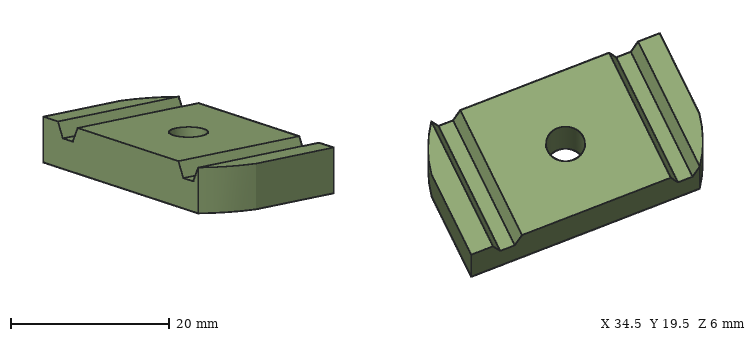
import cadquery as cq

length = 34.5
width = 19.5
thickness = 6.0

corner_cut_x = 3.0
corner_cut_y = 6.97
corner_radius = 17.25

groove_edge_distance = 3.0
groove_top_width = 4.0
groove_floor_width = 2.0
groove_depth = 2.0

hole_diameter = 4.95

half_length = length / 2
half_width = width / 2


def make_block():
    """Plate with its -X+Y and +X-Y corners rounded."""
    return (
        cq.Workplane("XY")
        .moveTo(-half_length, -half_width)
        .lineTo(half_length - corner_cut_x, -half_width)
        .radiusArc((half_length, -half_width + corner_cut_y), -corner_radius)
        .lineTo(half_length, half_width)
        .lineTo(-half_length + corner_cut_x, half_width)
        .radiusArc((-half_length, half_width - corner_cut_y), -corner_radius)
        .close()
        .extrude(thickness)
    )


def make_groove(center_x):
    """Cutter for one groove running the full width along Y."""
    floor_z = thickness - groove_depth
    return (
        cq.Workplane("XZ")
        .polyline([
            (center_x - groove_top_width / 2, thickness),
            (center_x - groove_floor_width / 2, floor_z),
            (center_x + groove_floor_width / 2, floor_z),
            (center_x + groove_top_width / 2, thickness),
        ])
        .close()
        .extrude(half_width, both=True)
    )


result = make_block()

groove_center = half_length - groove_edge_distance - groove_top_width / 2
for side in (-1, 1):
    result = result.cut(make_groove(side * groove_center))

result = result.faces("<Z").workplane(origin=(0, 0, 0)).hole(hole_diameter)